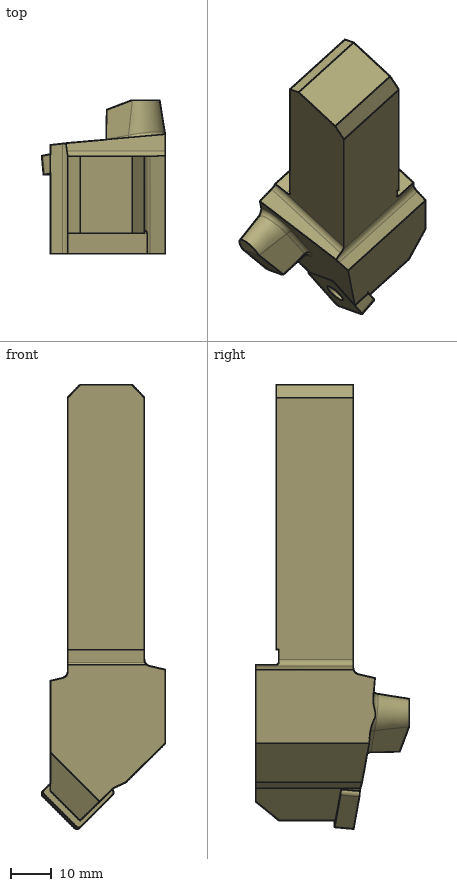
import cadquery as cq
import math

TOTAL_HEIGHT = 109.5

SHANK_LEFT = 4.3
SHANK_WIDTH = 18.9
SHANK_RIGHT = SHANK_LEFT + SHANK_WIDTH
SHANK_FRONT = 5.0
SHANK_BACK = 24.1
TOP_CHAMFER_WIDTH = 3.1
TOP_CHAMFER_HEIGHT = 3.2
UNDERCUT_DEPTH = 0.7
UNDERCUT_TOP = 44.2
UNDERCUT_FILLET = 0.7

HEAD_WIDTH = 28.4
HEAD_TOP = 40.5
LEFT_SHOULDER_Z = 36.6
RIGHT_SHOULDER_Z = 39.3
BACK_SHOULDER_Z = 37.2
SHOULDER_SLOPE = math.tan(math.radians(13))
SHOULDER_FILLET = 1.6
RIGHT_SIDE_BOTTOM = 21.1
RELIEF_START = (18.6, 11.5)
RELIEF_END = (15.5, 10.1)
NOSE = (7.3, 2.1)
LEFT_SIDE_BOTTOM = NOSE[0] + NOSE[1]
BEVEL_DEPTH = 5.8
BEVEL_RISE = 9.5

BACK_OFFSET = 23.5
BACK_SLOPE = 0.09
BACK_NORMAL = (-BACK_SLOPE, 1, -BACK_SLOPE)
BACK_UPHILL = (1, 2 * BACK_SLOPE, 1)

INSERT_TIP = (6.6, -0.36)
INSERT_SIDE = 12.8
INSERT_THICKNESS = 4.7
INSERT_CORNER_RADIUS = 0.9
INSERT_HOLE_DIAMETER = 5.1

BOSS_RADIUS = 8.0 / 2
BOSS_CENTER = (23.0, 28.1)
BOSS_TOP = 37.9
BOSS_LENGTH = 9.0
BOSS_DRAFT = 9.0
BOSS_TOP_DROP = 2.5
BOSS_CORNER_RADIUS = BOSS_RADIUS
BOSS_END_HALF_FLAT = 2.4
BOSS_ROOT = 21.9
BOSS_BASE_FILLET = 1.3

BIG = 219.0
ON_FACE_TOLERANCE = 0.01
BLANK_DEPTH = 43.8


def back_y(x, z):
    return BACK_OFFSET + BACK_SLOPE * (x + z)


def half_space(point, normal, along):
    """Large block filling the side of a plane that its normal points to."""
    plane = cq.Plane(origin=point, xDir=along, normal=normal)
    return cq.Workplane(plane).rect(BIG, BIG).extrude(BIG)


def make_profile_blank():
    """Shank and head as one outline, extruded through the full depth."""
    left_root = LEFT_SHOULDER_Z + SHOULDER_SLOPE * SHANK_LEFT
    right_root = RIGHT_SHOULDER_Z + SHOULDER_SLOPE * (HEAD_WIDTH - SHANK_RIGHT)
    chamfer_z = TOTAL_HEIGHT - TOP_CHAMFER_HEIGHT
    outline = [
        (0, LEFT_SHOULDER_Z),
        (SHANK_LEFT, left_root),
        (SHANK_LEFT, chamfer_z),
        (SHANK_LEFT + TOP_CHAMFER_WIDTH, TOTAL_HEIGHT),
        (SHANK_RIGHT - TOP_CHAMFER_WIDTH, TOTAL_HEIGHT),
        (SHANK_RIGHT, chamfer_z),
        (SHANK_RIGHT, right_root),
        (HEAD_WIDTH, RIGHT_SHOULDER_Z),
        (HEAD_WIDTH, RIGHT_SIDE_BOTTOM),
        RELIEF_START,
        RELIEF_END,
        NOSE,
        (0, LEFT_SIDE_BOTTOM),
    ]
    blank = cq.Workplane("XZ").polyline(outline).close().extrude(-BLANK_DEPTH)
    for root in ((SHANK_LEFT, left_root), (SHANK_RIGHT, right_root)):
        edge = cq.selectors.NearestToPointSelector((root[0], BLANK_DEPTH / 2, root[1]))
        blank = blank.edges("|Y").edges(edge).fillet(SHOULDER_FILLET)
    return blank


def make_front_cut():
    """Space in front of the shank, with the undercut above the head."""
    undercut_y = SHANK_FRONT + UNDERCUT_DEPTH
    return (
        cq.Workplane("YZ", origin=(-BIG / 2, 0, 0))
        .moveTo(-BIG, HEAD_TOP)
        .lineTo(undercut_y - UNDERCUT_FILLET, HEAD_TOP)
        .radiusArc((undercut_y, HEAD_TOP + UNDERCUT_FILLET), -UNDERCUT_FILLET)
        .lineTo(undercut_y, UNDERCUT_TOP)
        .lineTo(SHANK_FRONT, UNDERCUT_TOP)
        .lineTo(SHANK_FRONT, BIG)
        .lineTo(-BIG, BIG)
        .close()
        .extrude(BIG)
    )


def make_back_cut():
    """Space behind the shank, above the sloping back shoulder."""
    head_back = back_y(HEAD_WIDTH, BACK_SHOULDER_Z)
    root_z = BACK_SHOULDER_Z + SHOULDER_SLOPE * (head_back - SHANK_BACK)
    end_z = root_z - SHOULDER_SLOPE * (BIG - SHANK_BACK)
    cut = (
        cq.Workplane("YZ", origin=(-BIG / 2, 0, 0))
        .polyline([(SHANK_BACK, root_z), (SHANK_BACK, BIG), (BIG, BIG), (BIG, end_z)])
        .close()
        .extrude(BIG)
    )
    root = cq.selectors.NearestToPointSelector((0, SHANK_BACK, root_z))
    return cut.edges("|X").edges(root).fillet(SHOULDER_FILLET)


def make_bevel_cut():
    """Slope between the front face and the lower left face."""
    point = (0, BEVEL_DEPTH, LEFT_SIDE_BOTTOM)
    normal = (-BEVEL_DEPTH, -BEVEL_RISE, -BEVEL_DEPTH)
    return half_space(point, normal, (1, 0, -1))


def make_boss():
    center_x, center_z = BOSS_CENTER
    height = BOSS_TOP - BOSS_ROOT
    top_plane = cq.Plane(origin=(center_x, BOSS_TOP, center_z), xDir=(-1, 0, -1), normal=(0, -1, 0))
    overlong = 4 * BOSS_LENGTH
    boss = (
        cq.Workplane(top_plane)
        .moveTo(0, BOSS_RADIUS)
        .lineTo(overlong, BOSS_RADIUS)
        .lineTo(overlong, -BOSS_RADIUS)
        .lineTo(0, -BOSS_RADIUS)
        .threePointArc((-BOSS_RADIUS, 0), (0, BOSS_RADIUS))
        .close()
        .extrude(height, taper=-BOSS_DRAFT)
    )
    end_shift = BOSS_LENGTH / math.sqrt(2)
    end_form = (
        cq.Workplane(top_plane)
        .moveTo(BOSS_LENGTH - overlong / 2, 0)
        .rect(overlong, 2 * (BOSS_END_HALF_FLAT + BOSS_CORNER_RADIUS))
        .extrude(height)
        .edges("|Y")
        .edges(cq.selectors.DirectionMinMaxSelector(cq.Vector(-1, 0, -1)))
        .fillet(BOSS_CORNER_RADIUS)
    )
    boss = boss.intersect(end_form)
    fall = (-end_shift, -BOSS_TOP_DROP, -end_shift)
    across = cq.Vector(1, 0, -1)
    top_normal = across.cross(cq.Vector(*fall))
    top_cut = half_space((center_x, BOSS_TOP, center_z), top_normal.toTuple(), across.toTuple())
    return boss.cut(top_cut)


def make_insert_blank():
    tip_x, tip_z = INSERT_TIP
    plane = cq.Plane(origin=(tip_x, back_y(tip_x, tip_z), tip_z), xDir=BACK_UPHILL, normal=BACK_NORMAL)
    return (
        cq.Workplane(plane)
        .moveTo(INSERT_SIDE / 2, -INSERT_SIDE / 2)
        .rect(INSERT_SIDE, INSERT_SIDE)
        .extrude(-INSERT_THICKNESS)
        .edges(cq.selectors.ParallelDirSelector(cq.Vector(*BACK_NORMAL)))
        .fillet(INSERT_CORNER_RADIUS)
    )


def drill_insert(insert_blank):
    """Through hole in the middle of the insert, square to the back face."""
    return (
        insert_blank.faces(cq.selectors.DirectionMinMaxSelector(cq.Vector(*BACK_NORMAL)))
        .workplane(centerOption="CenterOfMass")
        .hole(INSERT_HOLE_DIAMETER)
    )


def make_back_form():
    """Everything in front of the sloping back face, plus the boss with its base fillet."""
    normal = (BACK_SLOPE, -1, BACK_SLOPE)
    form = half_space((0, BACK_OFFSET, 0), normal, BACK_UPHILL).union(make_boss())
    center_x, center_z = BOSS_CENTER
    reach = 2 * BOSS_LENGTH
    around_base = cq.selectors.BoxSelector(
        (center_x - reach, BACK_OFFSET, center_z - reach),
        (center_x + reach, BOSS_TOP, center_z + reach),
    )
    foot = []
    for edge in form.edges(around_base).vals():
        middle = edge.positionAt(0.5)
        if abs(middle.y - back_y(middle.x, middle.z)) < ON_FACE_TOLERANCE:
            foot.append(edge)
    return form.newObject(foot).fillet(BOSS_BASE_FILLET)


def make_holder(insert_blank):
    return (
        make_profile_blank()
        .intersect(make_back_form())
        .cut(make_front_cut())
        .cut(make_back_cut())
        .cut(make_bevel_cut())
        .cut(insert_blank)
    )


insert_blank = make_insert_blank()
holder = make_holder(insert_blank)
insert = drill_insert(insert_blank)
result = cq.Compound.makeCompound([holder.val(), insert.val()])